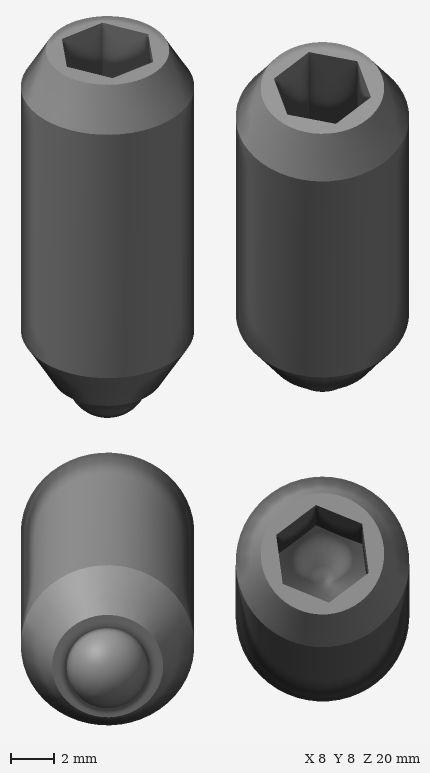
import cadquery as cq
import math

total_length = 20.0
housing_diameter = 8.0
pin_diameter = 3.8
pin_protrusion = 2.0
housing_length = total_length - pin_protrusion

taper_angle = math.radians(30)
top_taper_height = 2.0
bottom_taper_height = 2.5

socket_across_flats = 4.0
socket_across_corners = socket_across_flats / math.cos(math.radians(30))
socket_depth = 5.0
socket_point_half_angle = math.radians(60)

pin_seat_depth = 4.0

housing_radius = housing_diameter / 2
pin_radius = pin_diameter / 2


def make_socket():
    """Solid to cut away: a hexagonal prism bounded below by a drill-point cone."""
    corner_radius = socket_across_corners / 2
    point_height = corner_radius / math.tan(socket_point_half_angle)
    rim_z = housing_length - socket_depth
    point_z = rim_z - point_height
    prism = (
        cq.Workplane("XY", origin=(0, 0, point_z))
        .polygon(6, socket_across_corners)
        .extrude(housing_length - point_z)
    )
    drilled_space = (
        cq.Workplane("XZ")
        .moveTo(0, point_z)
        .lineTo(corner_radius, rim_z)
        .lineTo(corner_radius, housing_length)
        .lineTo(0, housing_length)
        .close()
        .revolve(360, (0, 0, 0), (0, 1, 0))
    )
    return prism.intersect(drilled_space)


def make_housing():
    """Round housing with two tapered ends, a socket above and a pin bore below."""
    top_radius = housing_radius - top_taper_height * math.tan(taper_angle)
    bottom_radius = housing_radius - bottom_taper_height * math.tan(taper_angle)
    body = (
        cq.Workplane("XZ")
        .moveTo(0, 0)
        .lineTo(bottom_radius, 0)
        .lineTo(housing_radius, bottom_taper_height)
        .lineTo(housing_radius, housing_length - top_taper_height)
        .lineTo(top_radius, housing_length)
        .lineTo(0, housing_length)
        .close()
        .revolve(360, (0, 0, 0), (0, 1, 0))
    )
    pin_bore = cq.Workplane("XY").circle(pin_radius).extrude(pin_seat_depth)
    return body.cut(pin_bore).cut(make_socket())


def make_pin():
    """Plunger pin with a hemispherical nose pointing down."""
    nose_center_z = pin_radius - pin_protrusion
    arc_offset = pin_radius * math.sqrt(0.5)
    return (
        cq.Workplane("XZ")
        .moveTo(0, -pin_protrusion)
        .threePointArc((arc_offset, nose_center_z - arc_offset), (pin_radius, nose_center_z))
        .lineTo(pin_radius, pin_seat_depth)
        .lineTo(0, pin_seat_depth)
        .close()
        .revolve(360, (0, 0, 0), (0, 1, 0))
    )


housing = make_housing()
pin = make_pin()

result = cq.Compound.makeCompound([housing.val(), pin.val()])